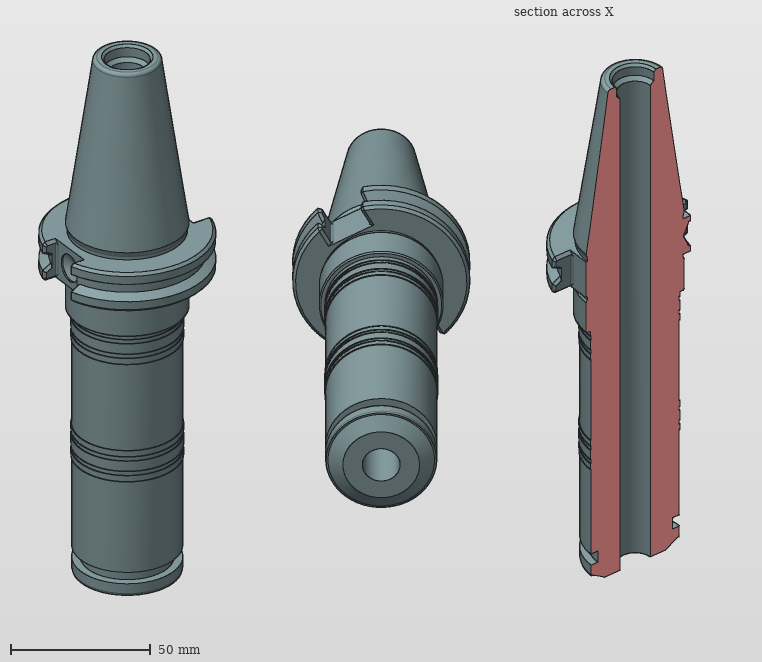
import cadquery as cq
import math

total_height = 214.6

taper_ratio = 7 / 24
gauge_diameter = 44.5
gauge_height = 146.4
taper_end_fillet = 1.5

flange_diameter = 63.5
flange_top = 143.2
flange_bottom = 127.3
flange_chamfer = 1.0
neck_diameter = 43.4
undercut_height = 2.0
collar_step_height = 1.0
groove_height = 135.2
groove_floor_diameter = 56.7
groove_floor_width = 3.2
groove_flank_angle = 30.0

collar_top = 126.2
collar_bottom = 111.5
collar_chamfer = 0.54
shank_diameter = 40.0
band_diameter = 40.5
upper_bands_bottom = 99.0
lower_bands_bottom = 50.5
outer_band_height = 2.5
middle_band_height = 4.3
band_gap = 1.7

end_neck_diameter = 34.0
end_neck_top = 12.9
end_ring_top = 8.2
end_ring_chamfer_height = 0.9
end_ring_chamfer = 0.2
end_cone_height = 3.2
end_cone_top_diameter = 38.2
end_cone_bottom_diameter = 27.5

bore_diameter = 13.5
counterbore_diameter = 16.5
counterbore_depth = 4.7
mouth_diameter = 18.5

slot_width = 16.0
slot_chamfer = 1.18
slot_corner_fillet = 0.6
front_slot_floor = 25.0
back_slot_floor = 22.3

dimple_diameter = 10.7
dimple_depth = 0.6
drill_point_angle = 130.0


def revolve_about_z(outline):
    """Solid of revolution from (radius, height) points."""
    return cq.Workplane("XZ").polyline(outline).close().revolve(360, (0, 0, 0), (0, 1, 0))


def turned_body():
    """Taper, neck, collar, shank and end ring, revolved about Z."""
    gauge_radius = gauge_diameter / 2
    neck_radius = neck_diameter / 2
    shank_radius = shank_diameter / 2
    ring_end_radius = shank_radius - end_ring_chamfer
    taper_end_radius = gauge_radius - (total_height - gauge_height) * taper_ratio / 2

    outline = [
        (0, 0),
        (end_cone_bottom_diameter / 2, 0),
        (end_cone_top_diameter / 2, end_cone_height),
        (ring_end_radius, end_cone_height),
        (shank_radius, end_cone_height + end_ring_chamfer_height),
        (shank_radius, end_ring_top),
        (end_neck_diameter / 2, end_ring_top),
        (end_neck_diameter / 2, end_neck_top),
        (shank_radius, end_neck_top),
        (shank_radius, collar_bottom),
        (gauge_radius - collar_chamfer, collar_bottom),
        (gauge_radius, collar_bottom + collar_chamfer),
        (gauge_radius, collar_top - collar_step_height),
        (neck_radius, collar_top),
        (neck_radius, gauge_height - undercut_height),
        (gauge_radius, gauge_height),
        (taper_end_radius, total_height),
        (0, total_height),
    ]
    return revolve_about_z(outline).faces(">Z").edges().fillet(taper_end_fillet)


def ring_bands():
    """Raised bands around the shank, in groups of three."""
    bands = cq.Workplane("XY")
    for group_bottom in (upper_bands_bottom, lower_bands_bottom):
        bottom = group_bottom
        for height in (outer_band_height, middle_band_height, outer_band_height):
            bands = bands.union(
                cq.Workplane("XY").workplane(offset=bottom).circle(band_diameter / 2).extrude(height)
            )
            bottom += height + band_gap
    return bands


def axial_bore():
    """Through bore with a conical-bottomed counterbore and a chamfered mouth at the top."""
    bore_radius = bore_diameter / 2
    counterbore_radius = counterbore_diameter / 2
    mouth_radius = mouth_diameter / 2
    counterbore_floor = total_height - counterbore_depth
    outline = [
        (0, 0),
        (bore_radius, 0),
        (bore_radius, counterbore_floor - (counterbore_radius - bore_radius)),
        (counterbore_radius, counterbore_floor),
        (counterbore_radius, total_height - (mouth_radius - counterbore_radius)),
        (mouth_radius, total_height),
        (0, total_height),
    ]
    return revolve_about_z(outline)


def grooved_disc():
    """Flange disc with chamfered rims and the gripper groove, before the slots are cut."""
    flange_radius = flange_diameter / 2
    floor_radius = groove_floor_diameter / 2
    floor_half = groove_floor_width / 2
    flank_rise = (flange_radius - floor_radius) * math.tan(math.radians(groove_flank_angle))
    rim_half = floor_half + flank_rise
    return revolve_about_z([
        (0, flange_bottom),
        (flange_radius - flange_chamfer, flange_bottom),
        (flange_radius, flange_bottom + flange_chamfer),
        (flange_radius, groove_height - rim_half),
        (floor_radius, groove_height - floor_half),
        (floor_radius, groove_height + floor_half),
        (flange_radius, groove_height + rim_half),
        (flange_radius, flange_top - flange_chamfer),
        (flange_radius - flange_chamfer, flange_top),
        (0, flange_top),
    ])


def drive_slot(side, floor_distance):
    """Cutter for the slot on the +Y side (side = 1) or -Y side (side = -1)."""
    depth = flange_diameter / 2 - floor_distance
    return (
        cq.Workplane("XY", origin=(0, side * (floor_distance + depth / 2), flange_bottom))
        .rect(slot_width, depth)
        .extrude(flange_top - flange_bottom)
    )


def flange():
    """Flange with both slots: wall edges chamfered outside the groove floor, floor corners rounded."""
    disc = grooved_disc().cut(drive_slot(-1, front_slot_floor)).cut(drive_slot(1, back_slot_floor))

    def is_chamfered(edge):
        at_floor_corner = edge.BoundingBox().zlen > flange_top - flange_bottom - slot_chamfer
        on_groove_floor = abs(edge.Center().z - groove_height) < groove_floor_width / 2
        return not (at_floor_corner or on_groove_floor)

    wall_edges = disc.faces("|X").edges().vals()
    disc = disc.newObject([edge for edge in wall_edges if is_chamfered(edge)]).chamfer(slot_chamfer)
    floor_corners = disc.faces("|X").edges(cq.selectors.LengthNthSelector(-1))
    return floor_corners.fillet(slot_corner_fillet)


def dimple():
    """Drilled hole with a conical tip, entering the floor of the -Y slot at mid-groove."""
    radius = dimple_diameter / 2
    tip = radius / math.tan(math.radians(drill_point_angle / 2))
    inner_end = dimple_depth - front_slot_floor
    outline = [
        (0, -front_slot_floor),
        (radius, -front_slot_floor),
        (radius, inner_end),
        (0, inner_end + tip),
    ]
    drill = cq.Workplane("XY").polyline(outline).close().revolve(360, (0, 0, 0), (0, 1, 0))
    return drill.translate((0, 0, groove_height))


result = turned_body().union(flange()).union(ring_bands()).cut(axial_bore()).cut(dimple())